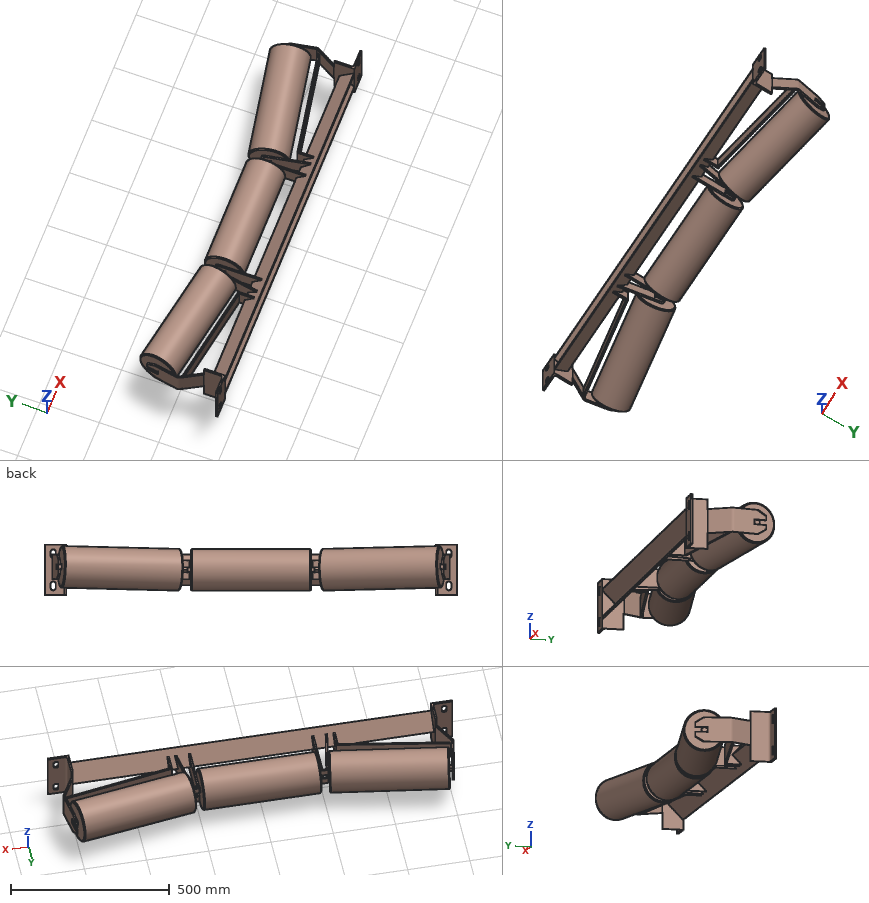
import cadquery as cq
import math

OVERALL_LENGTH = 1300.0
PLATE = 6.0
TROUGH_ANGLE = 10.0
TROUGH_SIN = math.sin(math.radians(TROUGH_ANGLE))
TROUGH_COS = math.cos(math.radians(TROUGH_ANGLE))

BEAM_LEG = 69.0
BEAM_THICKNESS = 6.0
BEAM_TOE_RADIUS = 5.5
BEAM_ROOT_RADIUS = 8.0
BEAM_HALF_LENGTH = 582.0
BEAM_SQUARE_TOE_Y = -BEAM_TOE_RADIUS * (math.sqrt(2) - 1)
BEAM_APEX_Y = BEAM_SQUARE_TOE_Y + (BEAM_LEG + BEAM_THICKNESS) / math.sqrt(2)

FOOT_HEIGHT_Z = 160.0
FOOT_TOP_Y = 69.0
FOOT_BEND_RADIUS = 8.0
FOOT_SLOT_LENGTH = 27.0
FOOT_SLOT_WIDTH = 15.0
FOOT_SLOT_X = -624.0
FOOT_SLOT_Z = 51.0
ARM_WIDTH = 78.0
ARM_OFFSET_Z = 9.8
ELBOW_X = -628.0
ELBOW_Y = 140.0
ELBOW_OUTER_RADIUS = 15.0
FORK_TIP_Y = 254.0
FORK_CHAMFER_Y = 27.0
FORK_CHAMFER_Z = 17.0

ROLLER_RADIUS = 66.0
ROLLER_LENGTH = 380.0
ROLLER_CHAMFER = 4.0
SHAFT_RADIUS = 9.8
SHAFT_LENGTH = 400.0
SHAFT_FLAT_WIDTH = 14.0
SEAT_WIDTH = 15.0
SEAT_CUT_LENGTH = 26.0
CENTRE_ROLLER_Y = 151.0
SIDE_ROLLER_X = -412.0
SIDE_ROLLER_Y = 188.0
SIDE_ROLLER_Z = ARM_OFFSET_Z / 2
SIDE_ROLLER_TILT = math.degrees(math.asin(ARM_OFFSET_Z / SHAFT_LENGTH))

SADDLE_WIDTH = 60.0
SADDLE_TOP_Y = 174.0
SADDLE_INNER_X = -195.0
SADDLE_OUTER_X = -218.0
SADDLE_BEND_RADIUS = 5.0
SUPPORT_END_Y = 15.0
BRACE_END_X = -264.0
BRACE_BEND_Y = 74.0


def bent_plate(face_points, width, centre_z):
    """Plate of constant thickness whose left-hand face follows the given XY points."""
    normals = []
    for (x0, y0), (x1, y1) in zip(face_points, face_points[1:]):
        length = math.hypot(x1 - x0, y1 - y0)
        normals.append(((y1 - y0) / length, (x0 - x1) / length))
    back_points = []
    for i, (x, y) in enumerate(face_points):
        nx0, ny0 = normals[max(i - 1, 0)]
        nx1, ny1 = normals[min(i, len(normals) - 1)]
        mitre = PLATE / (1 + nx0 * nx1 + ny0 * ny1)
        back_points.append((x + mitre * (nx0 + nx1), y + mitre * (ny0 + ny1)))
    outline = face_points + back_points[::-1]
    return (
        cq.Workplane("XY", origin=(0, 0, centre_z - width / 2))
        .polyline(outline).close().extrude(width)
    )


def mirrored(body):
    return body.mirror("YZ")


def at_side_roller(body):
    """Move a body from the origin, X along its axis, to the left side roller axis."""
    return (
        body.rotate((0, 0, 0), (0, 0, 1), -TROUGH_ANGLE)
        .translate((SIDE_ROLLER_X, SIDE_ROLLER_Y, 0))
    )


def tilted(body):
    """Raise the outer end of a side roller or its shaft."""
    return body.rotate((0, 0, 0), (0, 1, 0), SIDE_ROLLER_TILT).translate((0, 0, SIDE_ROLLER_Z))


def make_roller():
    half = ROLLER_LENGTH / 2
    return (
        cq.Workplane("YZ", origin=(-half, 0, 0))
        .circle(ROLLER_RADIUS).extrude(ROLLER_LENGTH)
        .edges().chamfer(ROLLER_CHAMFER)
        .cut(cq.Workplane("YZ", origin=(-half, 0, 0)).circle(SHAFT_RADIUS).extrude(ROLLER_LENGTH))
    )


def make_shaft():
    """Round shaft with two flats on each end that projects from the roller."""
    half = SHAFT_LENGTH / 2
    round_half = ROLLER_LENGTH / 2
    shaft = cq.Workplane("YZ", origin=(-half, 0, 0)).circle(SHAFT_RADIUS).extrude(SHAFT_LENGTH)
    middle = cq.Workplane("YZ", origin=(-round_half, 0, 0)).circle(SHAFT_RADIUS).extrude(2 * round_half)
    flat_core = cq.Workplane("XY").box(SHAFT_LENGTH, 2 * SHAFT_RADIUS, SHAFT_FLAT_WIDTH)
    return shaft.intersect(flat_core.union(middle))


def shaft_seat(end_x, centre_z):
    """Slot cutter, open towards +Y, for the shaft end at end_x on an axis through the origin."""
    return (
        cq.Workplane("XY")
        .box(SEAT_CUT_LENGTH, ROLLER_RADIUS, SEAT_WIDTH, centered=(True, False, True))
        .translate((end_x, -SHAFT_RADIUS, centre_z))
    )


def make_end_bracket():
    """Left bracket: foot plate, sloping arm and fork from one bent plate."""
    leg_x = -BEAM_HALF_LENGTH - PLATE
    tip_x = ELBOW_X + (FORK_TIP_Y - ELBOW_Y) * TROUGH_SIN / TROUGH_COS
    face = [
        (-OVERALL_LENGTH / 2, PLATE),
        (leg_x, PLATE),
        (leg_x, FOOT_TOP_Y),
        (ELBOW_X, ELBOW_Y),
        (tip_x, FORK_TIP_Y),
    ]
    foot = bent_plate(face[:3], FOOT_HEIGHT_Z, 0)
    foot = foot.edges(cq.NearestToPointSelector((leg_x, PLATE, 0))).fillet(FOOT_BEND_RADIUS)
    arm = bent_plate(face[1:], ARM_WIDTH, ARM_OFFSET_Z)
    elbow = cq.NearestToPointSelector((ELBOW_X, ELBOW_Y, ARM_OFFSET_Z))
    bracket = foot.union(arm.edges(elbow).fillet(ELBOW_OUTER_RADIUS))

    foot_slots = (
        cq.Workplane("XZ")
        .pushPoints([(FOOT_SLOT_X, -FOOT_SLOT_Z), (FOOT_SLOT_X, FOOT_SLOT_Z)])
        .slot2D(FOOT_SLOT_LENGTH, FOOT_SLOT_WIDTH, 90).extrude(-PLATE)
    )
    bracket = bracket.cut(foot_slots)

    cut_tip_y = FORK_TIP_Y + PLATE
    cut_depth_z = FORK_CHAMFER_Z * (FORK_CHAMFER_Y + PLATE) / FORK_CHAMFER_Y
    for side in (-1, 1):
        edge_z = ARM_OFFSET_Z + side * ARM_WIDTH / 2
        corner = (
            cq.Workplane("YZ", origin=(ELBOW_X, 0, 0))
            .moveTo(FORK_TIP_Y - FORK_CHAMFER_Y, edge_z)
            .lineTo(cut_tip_y, edge_z)
            .lineTo(cut_tip_y, edge_z - side * cut_depth_z)
            .close().extrude(BEAM_HALF_LENGTH)
        )
        bracket = bracket.cut(corner)
    return bracket.cut(at_side_roller(shaft_seat(-SHAFT_LENGTH / 2, ARM_OFFSET_Z)))


def make_saddle():
    """Left inverted-U support shared by the centre roller and the side roller."""
    foot_x = SADDLE_OUTER_X - (SADDLE_TOP_Y - SUPPORT_END_Y) * TROUGH_SIN / TROUGH_COS
    face = [
        (foot_x, SUPPORT_END_Y),
        (SADDLE_OUTER_X, SADDLE_TOP_Y),
        (SADDLE_INNER_X, SADDLE_TOP_Y),
        (SADDLE_INNER_X, SUPPORT_END_Y),
    ]
    saddle = bent_plate(face, SADDLE_WIDTH, 0)
    for corner in face[1:3]:
        saddle = saddle.edges(cq.NearestToPointSelector((*corner, 0))).fillet(SADDLE_BEND_RADIUS)
    centre_seat = shaft_seat(-SHAFT_LENGTH / 2, 0).translate((0, CENTRE_ROLLER_Y, 0))
    return saddle.cut(centre_seat).cut(at_side_roller(shaft_seat(SHAFT_LENGTH / 2, 0)))


def make_brace():
    """Left strip from the bracket elbow down to the beam."""
    elbow_inner_x = ELBOW_X + PLATE / TROUGH_COS
    start_y = BRACE_BEND_Y + (BRACE_END_X - elbow_inner_x) * TROUGH_SIN / TROUGH_COS
    face = [
        (elbow_inner_x, start_y),
        (BRACE_END_X, BRACE_BEND_Y),
        (BRACE_END_X, SUPPORT_END_Y),
    ]
    return bent_plate(face, SADDLE_WIDTH, 0)


def make_beam_frame(end_bracket):
    """Angle beam with the saddles and braces welded onto its sloping faces."""
    tip = BEAM_LEG / math.sqrt(2)
    step = BEAM_THICKNESS / math.sqrt(2)
    toe_y = BEAM_SQUARE_TOE_Y
    root_y = BEAM_APEX_Y - 2 * step
    start = cq.Workplane("YZ", origin=(-BEAM_HALF_LENGTH, 0, 0))
    beam = start.polyline([
        (BEAM_APEX_Y, 0), (toe_y + step, tip), (toe_y, tip - step),
        (root_y, 0), (toe_y, step - tip), (toe_y + step, -tip),
    ]).close().extrude(2 * BEAM_HALF_LENGTH)
    root = cq.NearestToPointSelector((0, root_y, 0))
    beam = beam.edges(root).fillet(BEAM_ROOT_RADIUS)
    for toe_z in (step - tip, tip - step):
        beam = beam.edges(cq.NearestToPointSelector((0, toe_y, toe_z))).fillet(BEAM_TOE_RADIUS)

    under_beam = start.polyline([
        (BEAM_APEX_Y, 0), (0, BEAM_APEX_Y), (0, -BEAM_APEX_Y),
    ]).close().extrude(2 * BEAM_HALF_LENGTH)
    for support in (make_saddle(), make_brace().cut(end_bracket)):
        support = support.cut(under_beam)
        beam = beam.union(support).union(mirrored(support))
    return beam


left_bracket = make_end_bracket()
end_brackets = [left_bracket, mirrored(left_bracket)]
beam_frame = make_beam_frame(left_bracket)

rollers = []
shafts = []
for bodies, body in ((rollers, make_roller()), (shafts, make_shaft())):
    side_body = at_side_roller(tilted(body))
    bodies.append(body.translate((0, CENTRE_ROLLER_Y, 0)))
    bodies.append(side_body)
    bodies.append(mirrored(side_body))

result = cq.Compound.makeCompound([
    beam_frame.val(),
    *[bracket.val() for bracket in end_brackets],
    *[roller.val() for roller in rollers],
    *[shaft.val() for shaft in shafts],
])